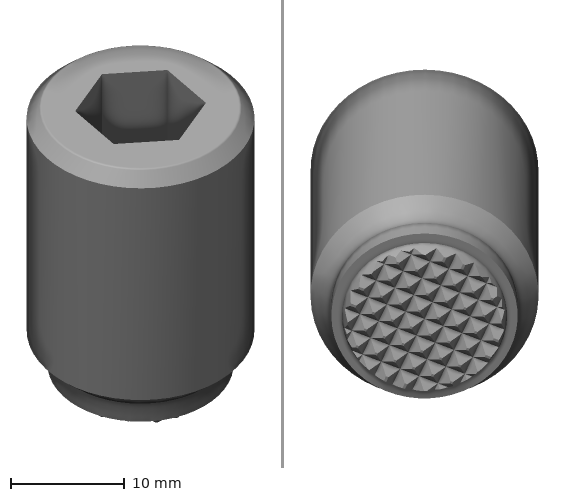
import cadquery as cq
import math

total_length = 30.0
body_diameter = 20.0
body_radius = body_diameter / 2

top_chamfer = 1.23
rim_fillet = 0.3

collar_bottom = 1.32
collar_top = 3.33
taper_height = 1.83
collar_radius = body_radius - taper_height

hex_across_flats = 10.0
hex_across_corners = hex_across_flats / math.cos(math.pi / 6)
hex_depth = 12.0
hex_floor = total_length - hex_depth
hex_cone_angle = 120.0
hex_cone_height = hex_across_corners / 2 / math.tan(math.radians(hex_cone_angle / 2))

ball_radius = 7.5
flat_radius = 6.75
ball_center_height = math.sqrt(ball_radius**2 - flat_radius**2)

groove_pitch = 1.8
groove_depth = 0.78
grooves_each_side = 3


def make_full_ball():
    """Whole ball, which also gives the shape of its seat in the screw."""
    return cq.Workplane("XY").sphere(ball_radius).translate((0, 0, ball_center_height))


def make_hex_socket():
    """Hexagonal prism that continues into a cone cropped by the same hexagon."""
    hex_height = hex_depth + hex_cone_height
    hex_prism = (
        cq.Workplane("XY", origin=(0, 0, hex_floor - hex_cone_height))
        .polygon(6, hex_across_corners)
        .extrude(hex_height)
    )
    pointed_cutter = (
        cq.Workplane("XZ")
        .moveTo(0, hex_floor - hex_cone_height)
        .lineTo(hex_across_corners / 2, hex_floor)
        .lineTo(hex_across_corners / 2, total_length)
        .lineTo(0, total_length)
        .close()
        .revolve(360, (0, 0, 0), (0, 1, 0))
    )
    return hex_prism.intersect(pointed_cutter)


def make_screw():
    """Headless screw with a tapered end, a hexagon socket and a ball seat."""
    blank = (
        cq.Workplane("XZ")
        .moveTo(0, collar_bottom)
        .lineTo(collar_radius, collar_bottom)
        .lineTo(collar_radius, collar_top)
        .lineTo(body_radius, collar_top + taper_height)
        .lineTo(body_radius, total_length - top_chamfer)
        .lineTo(body_radius - top_chamfer, total_length)
        .lineTo(0, total_length)
        .close()
        .revolve(360, (0, 0, 0), (0, 1, 0))
    )
    rounded = blank.faces(">Z").edges().fillet(rim_fillet)
    return rounded.cut(make_hex_socket()).cut(make_full_ball())


def make_groove(offset):
    """V groove along Y, centred at X = offset on the serrated face."""
    return (
        cq.Workplane("XZ")
        .moveTo(offset - groove_depth, 0)
        .lineTo(offset, groove_depth)
        .lineTo(offset + groove_depth, 0)
        .close()
        .extrude(ball_radius, both=True)
    )


def make_ball():
    """Ball cut flat at Z = 0, with a grid of teeth on the flat."""
    ball_height = ball_center_height + ball_radius
    kept_space = cq.Workplane("XY").rect(2 * ball_radius, 2 * ball_radius).extrude(ball_height)
    ball = make_full_ball().intersect(kept_space)
    for step in range(-grooves_each_side, grooves_each_side + 1):
        groove = make_groove(step * groove_pitch)
        crossing_groove = groove.rotate((0, 0, 0), (0, 0, 1), 90)
        ball = ball.cut(groove).cut(crossing_groove)
    return ball


screw = make_screw()
ball = make_ball()

result = cq.Compound.makeCompound([screw.solids().val(), ball.solids().val()])